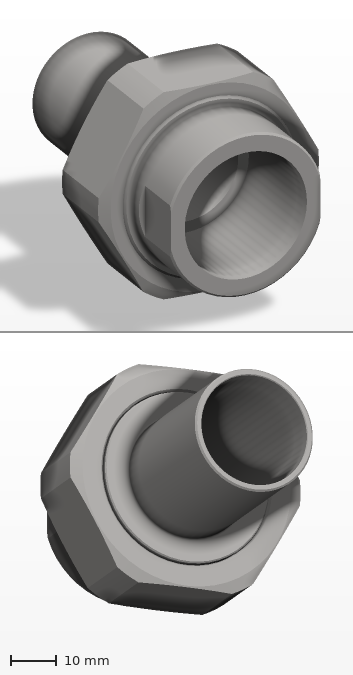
import cadquery as cq
import math

total_length = 73.5

tube_diameter = 28.0
tube_bore = 25.0
tube_end_chamfer = 0.4
tube_bore_chamfer = 0.2
collar_start = 37.9
collar_diameter = 39.0
collar_chamfer = 0.3
collar_root_fillet = 0.4
flange_diameter = 43.0
flange_thickness = 4.0

nut_start = 38.45
nut_length = 18.5
nut_across_flats = 50.0
nut_corner_diameter = 54.7
nut_face_diameter = 49.4
nut_chamfer_length = 0.85
nut_lip_thickness = 4.0
nut_lip_bore = 39.5
nut_lip_bore_chamfer = 0.5
nut_thread_bore = 43.38

shoulder_diameter = 43.38
shoulder_end = 57.5
shoulder_chamfer = 0.6
body_diameter = 39.0
body_bore = 30.29
body_end_chamfer = 0.5
body_root_fillet = 0.65
flat_start = 61.3
flats_across = 37.0

nut_end = nut_start + nut_length
flange_start = nut_start + nut_lip_thickness
flange_end = flange_start + flange_thickness


def revolve_about_x(points):
    """Revolve a closed (x, diameter) outline about the X axis."""
    outline = [(x, diameter / 2) for x, diameter in points]
    return cq.Workplane("XY").polyline(outline).close().revolve(360, (0, 0, 0), (1, 0, 0))


def fillet_circle(turned, x, diameter, fillet_radius):
    """Round the circular edge of this diameter that lies at the given X."""
    root_edges = turned.edges("%CIRCLE").filter(
        lambda edge: math.isclose(edge.Center().x, x, abs_tol=1e-4)
        and math.isclose(edge.radius(), diameter / 2, abs_tol=1e-4)
    )
    return root_edges.fillet(fillet_radius)


def make_tail_piece():
    """Tube with a collar that fits the nut lip and a flange that the lip pulls against."""
    turned = revolve_about_x([
        (tube_bore_chamfer, tube_bore),
        (0, tube_bore + 2 * tube_bore_chamfer),
        (0, tube_diameter - 2 * tube_end_chamfer),
        (tube_end_chamfer, tube_diameter),
        (collar_start, tube_diameter),
        (collar_start, collar_diameter - 2 * collar_chamfer),
        (collar_start + collar_chamfer, collar_diameter),
        (flange_start, collar_diameter),
        (flange_start, flange_diameter),
        (flange_end, flange_diameter),
        (flange_end, tube_bore),
    ])
    return fillet_circle(turned, collar_start, tube_diameter, collar_root_fillet)


def make_nut():
    """Hexagon union nut with a lip over the tail piece collar."""
    hexagon_diameter = nut_across_flats / math.cos(math.pi / 6)
    hexagon = (
        cq.Workplane("YZ", origin=(nut_start, 0, 0))
        .polygon(6, hexagon_diameter)
        .extrude(nut_length)
    )
    turned_blank = revolve_about_x([
        (nut_start, nut_lip_bore + 2 * nut_lip_bore_chamfer),
        (nut_start, nut_face_diameter),
        (nut_start + nut_chamfer_length, nut_corner_diameter),
        (nut_end - nut_chamfer_length, nut_corner_diameter),
        (nut_end, nut_face_diameter),
        (nut_end, nut_thread_bore),
        (flange_start, nut_thread_bore),
        (flange_start, nut_lip_bore),
        (nut_start + nut_lip_bore_chamfer, nut_lip_bore),
    ])
    return hexagon.intersect(turned_blank)


def make_flat_cutter(side):
    """Wedge that mills one wrench flat with a 45 degree run-out; side is +1 or -1 along Y."""
    depth = body_diameter / 2
    flat_y = flats_across / 2
    return (
        cq.Workplane("XY", origin=(0, 0, -depth))
        .polyline([
            (flat_start, side * flat_y),
            (total_length, side * flat_y),
            (total_length, side * (flat_y + depth)),
            (flat_start - depth, side * (flat_y + depth)),
        ])
        .close()
        .extrude(2 * depth)
    )


def make_body():
    """Body whose shoulder fills the nut bore and whose free end carries two wrench flats."""
    body = revolve_about_x([
        (flange_end, body_bore),
        (flange_end, shoulder_diameter),
        (shoulder_end - shoulder_chamfer, shoulder_diameter),
        (shoulder_end, shoulder_diameter - 2 * shoulder_chamfer),
        (shoulder_end, body_diameter),
        (total_length - body_end_chamfer, body_diameter),
        (total_length, body_diameter - 2 * body_end_chamfer),
        (total_length, body_bore),
    ])
    body = fillet_circle(body, shoulder_end, body_diameter, body_root_fillet)
    for side in (1, -1):
        body = body.cut(make_flat_cutter(side))
    return body


tail_piece = make_tail_piece()
nut = make_nut()
body = make_body()

result = cq.Compound.makeCompound([tail_piece.val(), nut.val(), body.val()])